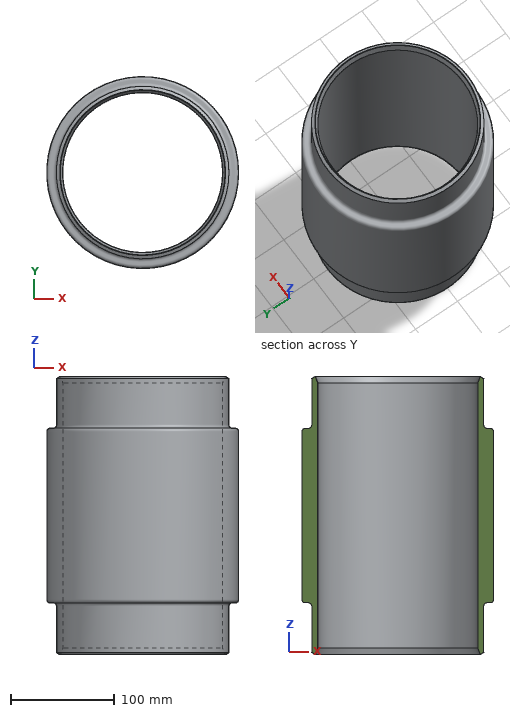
import cadquery as cq
length = 270.0
body_radius = 93.2
neck_radius = 83.7
bore_radius = 77.5

neck_length = 50.2
shoulder_round = 3.2

outer_bevel_width = 3.2
outer_bevel_height = 2.2
mouth_radius = 80.0
mouth_depth = 6.5

end = length / 2
shoulder = end - neck_length
body_edge = shoulder - shoulder_round
neck_edge = shoulder + shoulder_round

shoulder_outer_radius = body_radius - shoulder_round
shoulder_inner_radius = neck_radius + shoulder_round
end_face_radius = neck_radius - outer_bevel_width


def revolve_about_z(section):
    """Turn a closed section, drawn in radius and height, into a solid of revolution."""
    return section.revolve(360, (0, 0, 0), (0, 1, 0))


def sleeve_body():
    """Solid stepped body without its bore, the same above and below the XY plane."""
    section = (
        cq.Workplane("XZ")
        .moveTo(0, -end)
        .lineTo(end_face_radius, -end)
        .lineTo(neck_radius, -end + outer_bevel_height)
        .lineTo(neck_radius, -neck_edge)
        .radiusArc((shoulder_inner_radius, -shoulder), shoulder_round)
        .lineTo(shoulder_outer_radius, -shoulder)
        .radiusArc((body_radius, -body_edge), -shoulder_round)
        .lineTo(body_radius, body_edge)
        .radiusArc((shoulder_outer_radius, shoulder), -shoulder_round)
        .lineTo(shoulder_inner_radius, shoulder)
        .radiusArc((neck_radius, neck_edge), shoulder_round)
        .lineTo(neck_radius, end - outer_bevel_height)
        .lineTo(end_face_radius, end)
        .lineTo(0, end)
        .close()
    )
    return revolve_about_z(section)


def bore():
    """Through bore that widens to a bevelled mouth at both ends."""
    section = (
        cq.Workplane("XZ")
        .moveTo(0, -end)
        .lineTo(mouth_radius, -end)
        .lineTo(bore_radius, -end + mouth_depth)
        .lineTo(bore_radius, end - mouth_depth)
        .lineTo(mouth_radius, end)
        .lineTo(0, end)
        .close()
    )
    return revolve_about_z(section)


result = sleeve_body().cut(bore())